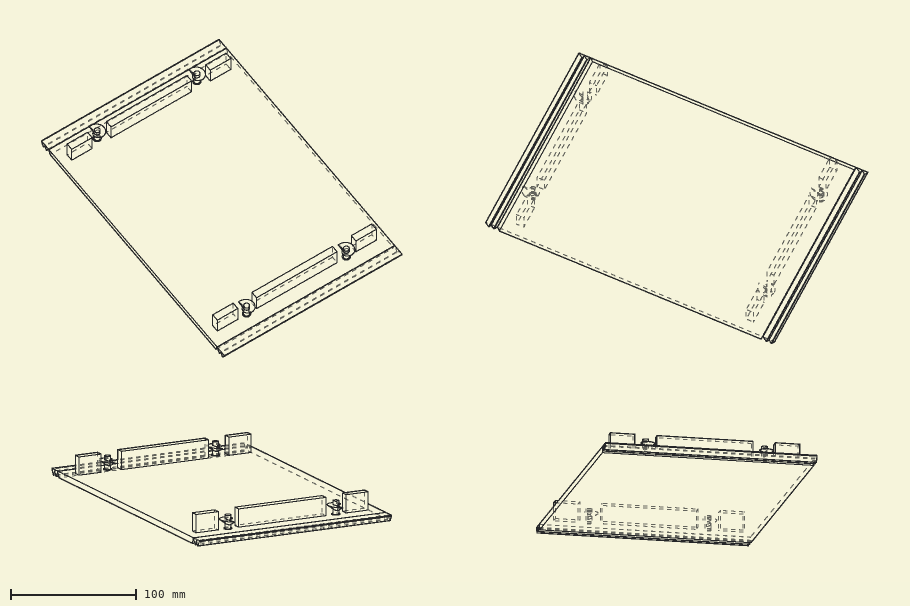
import cadquery as cq
import math

LENGTH = 254.0
WIDTH = 172.0
PLATE_THICKNESS = 5.0

OUTER_LIP = 0.8
OUTER_TIP = 2.5
TIP_WIDTH = 0.5
FIRST_ROOT = 4.8
SECOND_TIP = 6.9
SECOND_ROOT = 10.2
SECOND_ROOT_WIDTH = 0.3
PANEL_FOOT = 12.0
FIRST_WEB = 1.0
SECOND_WEB = 0.13

RAIL_HEIGHT = 15.0
RAIL_WIDTH = 6.4
RAIL_OUTER_X = 104.1
CENTRE_RAIL_LENGTH = 78.0
END_RAIL_LENGTH = 19.8
END_RAIL_Y = 67.0

LATCH_X = 103.6
LATCH_Y = 48.3
POST_RADIUS = 2.41
POST_HEIGHT = 11.2
FOOT_RADIUS = 3.3
FOOT_THICKNESS = 0.3
FLIGHT_OVERLAP = 0.38
FLIGHT_CORE_RADIUS = POST_RADIUS - FLIGHT_OVERLAP
FLIGHT_START_RADIUS = 2.5
FLIGHT_END_RADIUS = 9.1
FLIGHT_START_ANGLE = 190.0
FLIGHT_RAMP_ANGLE = 480.0
FLIGHT_END_ANGLE = FLIGHT_START_ANGLE + 360.0
CURVE_STEPS = 40
FLIGHT_HEIGHT = 8.1
FLIGHT_TIP_HEIGHT = 7.0
FLIGHT_START_BOTTOM = 7.5
FLIGHT_END_BOTTOM = 3.0


def plate_outline():
    """Cross-section of the plate, with its top at height zero."""
    edge = LENGTH / 2
    bottom = -PLATE_THICKNESS
    right_half = [
        (edge, 0),
        (edge, -OUTER_LIP),
        (edge - OUTER_TIP, bottom),
        (edge - OUTER_TIP - TIP_WIDTH, bottom),
        (edge - FIRST_ROOT, -FIRST_WEB),
        (edge - SECOND_TIP, bottom),
        (edge - SECOND_TIP - TIP_WIDTH, bottom),
        (edge - SECOND_ROOT, -SECOND_WEB),
        (edge - SECOND_ROOT - SECOND_ROOT_WIDTH, -SECOND_WEB),
        (edge - PANEL_FOOT, bottom),
    ]
    left_half = [(-x, z) for x, z in reversed(right_half)]
    return right_half + left_half


def make_plate():
    """Plate with a row of three rails near each grooved margin."""
    plate = cq.Workplane("XZ").polyline(plate_outline()).close().extrude(WIDTH / 2, both=True)
    rails = [(0, CENTRE_RAIL_LENGTH), (END_RAIL_Y, END_RAIL_LENGTH), (-END_RAIL_Y, END_RAIL_LENGTH)]
    for side in (-1, 1):
        for y, length in rails:
            rail = (
                cq.Workplane("XY")
                .center(side * (RAIL_OUTER_X - RAIL_WIDTH / 2), y)
                .rect(RAIL_WIDTH, length)
                .extrude(RAIL_HEIGHT)
            )
            plate = plate.union(rail)
    return plate.clean()


def between(angle, first, last, first_value, last_value):
    """Value that changes evenly with the angle."""
    return first_value + (last_value - first_value) * (angle - first) / (last - first)


def rim_radius(angle):
    """Radius of the outer edge, which grows evenly over one turn."""
    return between(
        angle, FLIGHT_START_ANGLE, FLIGHT_END_ANGLE, FLIGHT_START_RADIUS, FLIGHT_END_RADIUS
    )


def rim_height(angle):
    """Height of the upper face: flat at first, then sinking towards the tip."""
    if angle <= FLIGHT_RAMP_ANGLE:
        return FLIGHT_HEIGHT
    return between(
        angle, FLIGHT_RAMP_ANGLE, FLIGHT_END_ANGLE, FLIGHT_HEIGHT, FLIGHT_TIP_HEIGHT
    )


def core_bottom(angle):
    """Height where the sloping underside meets the core."""
    return between(
        angle, FLIGHT_START_ANGLE, FLIGHT_END_ANGLE, FLIGHT_START_BOTTOM, FLIGHT_END_BOTTOM
    )


def core_radius(angle):
    """Constant radius just inside the post, so that the flight and the post join."""
    return FLIGHT_CORE_RADIUS


def flight_edge(radius, height, first, last):
    """Curve around the post between two angles."""

    def point(angle):
        turn = math.radians(angle)
        return (radius(angle) * math.cos(turn), radius(angle) * math.sin(turn), height(angle))

    curve = cq.Workplane("XY").parametricCurve(
        point, N=CURVE_STEPS, start=first, stop=last, makeWire=False
    )
    return curve.val()


def make_flight():
    """Flight with a triangular section: ruled faces on each stretch and a flat face at each end."""
    faces = []
    ends = []
    for first, last in (
        (FLIGHT_START_ANGLE, FLIGHT_RAMP_ANGLE),
        (FLIGHT_RAMP_ANGLE, FLIGHT_END_ANGLE),
    ):
        rim = flight_edge(rim_radius, rim_height, first, last)
        top = flight_edge(core_radius, rim_height, first, last)
        bottom = flight_edge(core_radius, core_bottom, first, last)
        for edge, next_edge in ((rim, top), (top, bottom), (bottom, rim)):
            faces.append(cq.Face.makeRuledSurface(edge, next_edge))
        ends.append([edge.startPoint() for edge in (rim, top, bottom)])
        ends.append([edge.endPoint() for edge in (rim, top, bottom)])
    for corners in (ends[0], ends[-1]):
        faces.append(cq.Face.makeFromWires(cq.Wire.makePolygon(corners, close=True)))
    return cq.Workplane(obj=cq.Solid.makeSolid(cq.Shell.makeShell(faces)).fix())


def make_latch(x, y):
    """Post standing on the plate, with a thin foot and the spiral flight."""
    post = cq.Workplane("XY").circle(POST_RADIUS).extrude(POST_HEIGHT)
    foot = cq.Workplane("XY").circle(FOOT_RADIUS).extrude(FOOT_THICKNESS)
    latch = post.union(foot).union(make_flight())
    return latch.translate((x, y, 0))


plate = make_plate()
latches = [
    make_latch(x, y)
    for x in (-LATCH_X, LATCH_X)
    for y in (-LATCH_Y, LATCH_Y)
]

result = cq.Compound.makeCompound([plate.val(), *[latch.val() for latch in latches]])